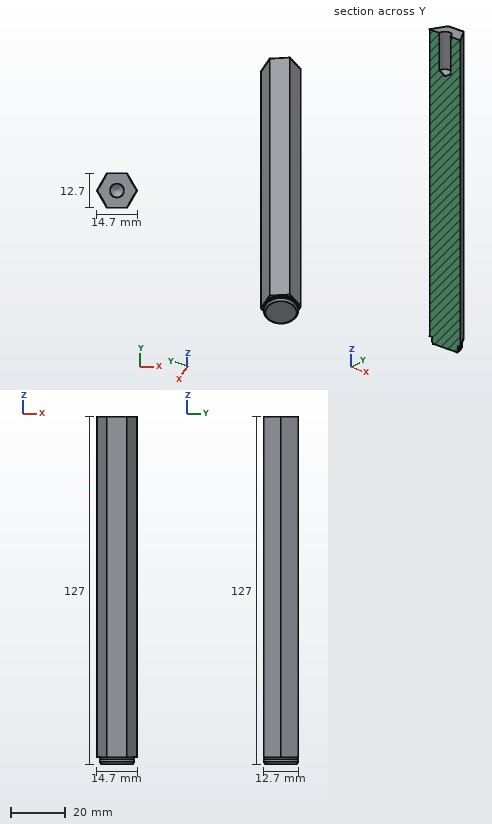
import cadquery as cq
import math

total_length = 127.0
across_flats = 12.7

neck_diameter = 12.2
neck_height = 0.8
collar_diameter = across_flats
collar_height = 0.9
taper_height = 1.0
tip_diameter = 11.4

hole_diameter = 5.1
hole_depth = 15.2
drill_point_angle = 118.0

taper_top = taper_height
collar_top = taper_top + collar_height
body_bottom = collar_top + neck_height


def hex_body():
    across_corners = across_flats / math.cos(math.radians(30))
    return (
        cq.Workplane("XY", origin=(0, 0, body_bottom))
        .polygon(6, across_corners)
        .extrude(total_length - body_bottom)
    )


def clinch_end():
    """Tapered tip, collar and undercut neck, revolved about Z."""
    neck_radius = neck_diameter / 2
    collar_radius = collar_diameter / 2
    profile = [
        (0, 0),
        (tip_diameter / 2, 0),
        (collar_radius, taper_top),
        (collar_radius, collar_top),
        (neck_radius, collar_top),
        (neck_radius, body_bottom),
        (0, body_bottom),
    ]
    return cq.Workplane("XZ").polyline(profile).close().revolve(360, (0, 0), (0, 1))


def drilled_hole():
    """Cylinder of the full hole depth with a conical drill point below it."""
    hole_radius = hole_diameter / 2
    shoulder = total_length - hole_depth
    point_height = hole_radius / math.tan(math.radians(drill_point_angle / 2))
    profile = [
        (0, shoulder - point_height),
        (hole_radius, shoulder),
        (hole_radius, total_length),
        (0, total_length),
    ]
    return cq.Workplane("XZ").polyline(profile).close().revolve(360, (0, 0), (0, 1))


result = hex_body().union(clinch_end()).cut(drilled_hole())